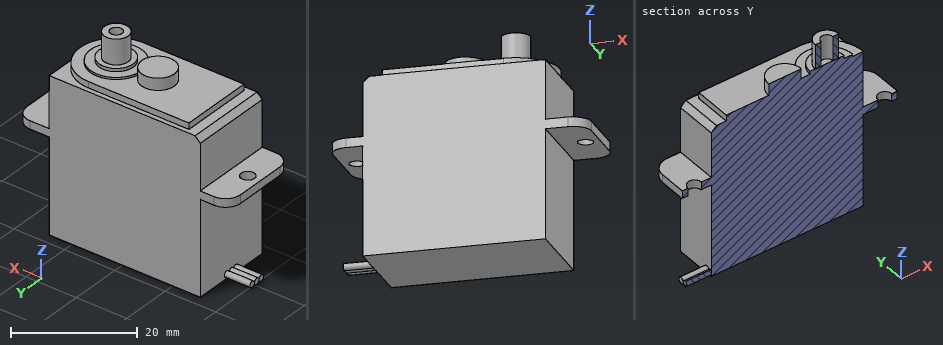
import cadquery as cq

EAR_SPAN = 42.5
WIDTH = 16.15
CASE_LEFT = 5.75
CASE_LENGTH = 30.05
CASE_RIGHT = CASE_LEFT + CASE_LENGTH
CASE_HEIGHT = 29.9
CASE_CHAMFER = 1.0

EAR_BOTTOM = 18.35
EAR_THICKNESS = 1.6
EAR_CORNER_RADIUS = 2.98
EAR_HOLE_DIAMETER = 2.6
EAR_HOLE_INSET = 2.45

PLATE_LEFT = 8.65
PLATE_WIDTH = 14.35
PLATE_THICKNESS = 1.2
PLATE_RADIUS = PLATE_WIDTH / 2
PLATE_TOP = CASE_HEIGHT + PLATE_THICKNESS
OUTPUT_X = CASE_RIGHT - PLATE_RADIUS

DISC_DIAMETER = 10.15
DISC_THICKNESS = 0.4
COLLAR_DIAMETER = 6.75
COLLAR_THICKNESS = 0.6
COLLAR_TOP = PLATE_TOP + DISC_THICKNESS + COLLAR_THICKNESS

BOSS_DIAMETER = 6.45
BOSS_HEIGHT = 2.3
BOSS_X = OUTPUT_X - (DISC_DIAMETER + BOSS_DIAMETER) / 2

SHAFT_DIAMETER = 4.7
SHAFT_BORE_DIAMETER = 2.25
SHAFT_TOP = 36.95

WIRE_COUNT = 3
WIRE_DIAMETER = 1.2
WIRE_END_X = 0.7
WIRE_AXIS_Z = 0.9


def cylinder(x, bottom, diameter, height):
    """Upright cylinder on the mid plane Y = 0."""
    return cq.Workplane("XY", origin=(x, 0, bottom)).circle(diameter / 2).extrude(height)


def make_case_block():
    block = cq.Workplane("XY").box(CASE_LENGTH, WIDTH, CASE_HEIGHT, centered=(False, True, False))
    return block.translate((CASE_LEFT, 0, 0)).edges("<X and >Z").chamfer(CASE_CHAMFER)


def make_ears():
    """One rounded slab that forms both ears where it passes through the case."""
    slab = cq.Workplane("XY").box(EAR_SPAN, WIDTH, EAR_THICKNESS, centered=(False, True, False))
    slab = slab.edges("|Z").fillet(EAR_CORNER_RADIUS).translate((0, 0, EAR_BOTTOM))
    for x in (EAR_HOLE_INSET, EAR_SPAN - EAR_HOLE_INSET):
        slab = slab.cut(cylinder(x, EAR_BOTTOM, EAR_HOLE_DIAMETER, EAR_THICKNESS))
    return slab


def make_top_plate():
    return (
        cq.Workplane("XY", origin=(0, 0, CASE_HEIGHT))
        .moveTo(PLATE_LEFT, -PLATE_RADIUS)
        .lineTo(OUTPUT_X, -PLATE_RADIUS)
        .threePointArc((CASE_RIGHT, 0), (OUTPUT_X, PLATE_RADIUS))
        .lineTo(PLATE_LEFT, PLATE_RADIUS)
        .close()
        .extrude(PLATE_THICKNESS)
    )


def make_housing():
    disc = cylinder(OUTPUT_X, PLATE_TOP, DISC_DIAMETER, DISC_THICKNESS)
    collar = cylinder(OUTPUT_X, PLATE_TOP + DISC_THICKNESS, COLLAR_DIAMETER, COLLAR_THICKNESS)
    boss = cylinder(BOSS_X, PLATE_TOP, BOSS_DIAMETER, BOSS_HEIGHT)
    housing = make_case_block().union(make_ears()).union(make_top_plate())
    return housing.union(disc).union(collar).union(boss)


def make_output_shaft():
    """Tube standing on the collar."""
    height = SHAFT_TOP - COLLAR_TOP
    shaft = cylinder(OUTPUT_X, COLLAR_TOP, SHAFT_DIAMETER, height)
    return shaft.cut(cylinder(OUTPUT_X, COLLAR_TOP, SHAFT_BORE_DIAMETER, height))


def make_wire(y):
    """Straight wire that ends against the left face of the case."""
    start = cq.Workplane("YZ", origin=(WIRE_END_X, y, WIRE_AXIS_Z))
    return start.circle(WIRE_DIAMETER / 2).extrude(CASE_LEFT - WIRE_END_X)


housing = make_housing()
output_shaft = make_output_shaft()

wires = []
for index in range(WIRE_COUNT):
    wire_y = (index - (WIRE_COUNT - 1) / 2) * WIRE_DIAMETER
    wires.append(make_wire(wire_y).val())

result = cq.Compound.makeCompound([housing.val(), output_shaft.val(), *wires])